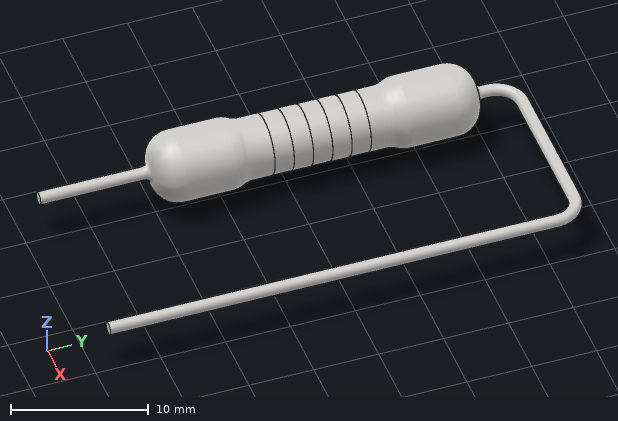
import cadquery as cq
import math


wire_diameter = 1.0
wire_radius = wire_diameter / 2
lead_spacing = 15.0
bend_radius = 2.0
overall_length = 37.1
lead_end_y = -21.1
lead_top_y = lead_end_y + overall_length - wire_radius

band_diameter = 4.7
core_diameter = 4.67
cap_diameter = 5.5
band_radius = band_diameter / 2
core_radius = core_diameter / 2
cap_radius = cap_diameter / 2
band_width = 1.5
segment_count = 7
transition_length = 1.55
cap_length = 3.82
dome_radius = 2.0
neck_fillet = wire_radius

barrel_end = segment_count * band_width / 2
cap_start = barrel_end + transition_length
dome_start = cap_start + cap_length

dome_center_radius = cap_radius - dome_radius
neck_center_radius = wire_radius + neck_fillet
neck_angle = math.asin((neck_center_radius - dome_center_radius) / (dome_radius + neck_fillet))
neck_end = dome_start + (dome_radius + neck_fillet) * math.cos(neck_angle)


def around(center_radius, center_y, radius, angle):
    """Profile point at an angle measured from the body axis direction toward the outside."""
    return (center_radius + radius * math.sin(angle), center_y + radius * math.cos(angle))


def make_barrel():
    """Central cylinder with alternating raised bands."""
    barrel = cq.Workplane("XZ", origin=(0, barrel_end, 0)).circle(core_radius).extrude(2 * barrel_end)
    for index in range(0, segment_count, 2):
        band_top = barrel_end - index * band_width
        band = cq.Workplane("XZ", origin=(0, band_top, 0)).circle(band_radius).extrude(band_width)
        barrel = barrel.union(band)
    return barrel


def make_cap():
    """End cap on the +Y side: S-curve, cylinder, dome and filleted neck."""
    s_curve_middle = ((band_radius + cap_radius) / 2, barrel_end + transition_length / 2)
    dome_middle_angle = (math.pi / 2 + neck_angle) / 2
    neck_middle_angle = (1.5 * math.pi + math.pi + neck_angle) / 2
    dome_middle = around(dome_center_radius, dome_start, dome_radius, dome_middle_angle)
    dome_end = around(dome_center_radius, dome_start, dome_radius, neck_angle)
    neck_middle = around(neck_center_radius, neck_end, neck_fillet, neck_middle_angle)

    s_curve_half_rise = (cap_radius - band_radius) / 2
    s_curve_half_length = transition_length / 2
    s_curve_radius = (s_curve_half_rise**2 + s_curve_half_length**2) / (2 * s_curve_half_rise)
    s_curve_half_angle = math.asin(s_curve_half_length / s_curve_radius) / 2
    inner_arc_middle = around(
        band_radius + s_curve_radius, barrel_end, s_curve_radius, -math.pi / 2 + s_curve_half_angle
    )
    outer_arc_middle = around(
        cap_radius - s_curve_radius, cap_start, s_curve_radius, math.pi / 2 + s_curve_half_angle
    )

    return (
        cq.Workplane("XY")
        .moveTo(0, barrel_end)
        .lineTo(band_radius, barrel_end)
        .threePointArc(inner_arc_middle, s_curve_middle)
        .threePointArc(outer_arc_middle, (cap_radius, cap_start))
        .lineTo(cap_radius, dome_start)
        .threePointArc(dome_middle, dome_end)
        .threePointArc(neck_middle, (wire_radius, neck_end))
        .lineTo(0, neck_end)
        .close()
        .revolve(360, (0, 0, 0), (0, 1, 0))
    )


def make_straight_lead():
    """Lead leaving the -Y cap along the body axis."""
    lead_length = -neck_end - lead_end_y
    return cq.Workplane("XZ", origin=(0, -neck_end, 0)).circle(wire_radius).extrude(lead_length)


def make_bent_lead():
    """Lead leaving the +Y cap, crossing over in X and returning past the body."""
    bend_start_y = lead_top_y - bend_radius
    bend_inset = bend_radius * (1 - math.sqrt(0.5))
    path = (
        cq.Workplane("XY")
        .moveTo(0, neck_end)
        .lineTo(0, bend_start_y)
        .threePointArc((bend_inset, lead_top_y - bend_inset), (bend_radius, lead_top_y))
        .lineTo(lead_spacing - bend_radius, lead_top_y)
        .threePointArc(
            (lead_spacing - bend_inset, lead_top_y - bend_inset), (lead_spacing, bend_start_y)
        )
        .lineTo(lead_spacing, lead_end_y)
    )
    return cq.Workplane("XZ", origin=(0, neck_end, 0)).circle(wire_radius).sweep(path)


cap = make_cap()
result = (
    make_barrel()
    .union(cap)
    .union(cap.mirror("XZ"))
    .union(make_straight_lead())
    .union(make_bent_lead())
)